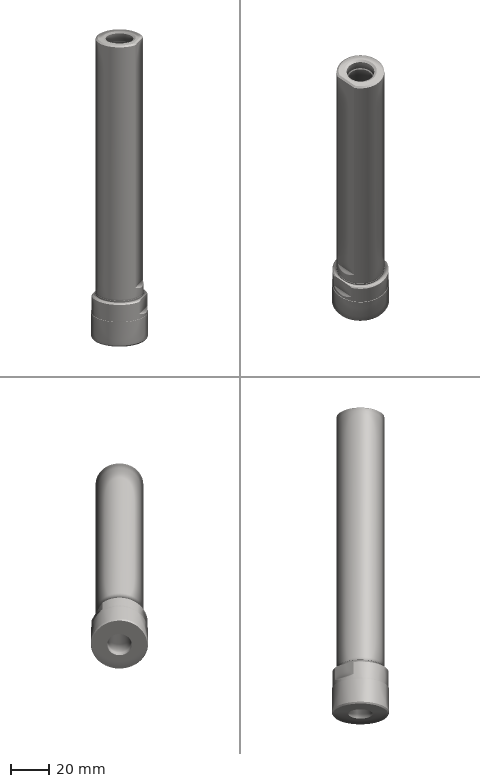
import cadquery as cq

total_length = 169.0
shaft_diameter = 25.0
shaft_chamfer_width = 1.0
shaft_chamfer_height = 0.7

neck_diameter = 24.7
neck_top = 25.7
neck_bottom = 25.0

nut_diameter = 30.0
nut_upper_diameter = 29.5
nut_step_height = 14.0
nut_top = 24.2
nut_bottom_chamfer_width = 0.5
nut_bottom_chamfer_height = 0.8
nut_top_chamfer_width = 0.7
nut_top_chamfer_height = 0.5

wrench_half_width = 13.4
wrench_flat_bottom = 16.9

shaft_flat_x = 11.0
shaft_flat_bottom = 31.3

bore_diameter = 12.8
counterbore_diameter = 14.5
counterbore_depth = 5.0
mouth_diameter = 17.0
mouth_depth = 0.7


def revolved_body():
    """Nut, neck and shaft turned about the Z axis."""
    nut_radius = nut_diameter / 2
    upper_radius = nut_upper_diameter / 2
    neck_radius = neck_diameter / 2
    shaft_radius = shaft_diameter / 2
    outline = [
        (0, 0),
        (nut_radius - nut_bottom_chamfer_width, 0),
        (nut_radius, nut_bottom_chamfer_height),
        (nut_radius, nut_step_height),
        (upper_radius, nut_step_height),
        (upper_radius, nut_top - nut_top_chamfer_height),
        (upper_radius - nut_top_chamfer_width, nut_top),
        (shaft_radius, nut_top),
        (shaft_radius, neck_bottom),
        (neck_radius, neck_bottom),
        (neck_radius, neck_top),
        (shaft_radius, neck_top),
        (shaft_radius, total_length),
        (0, total_length),
    ]
    return cq.Workplane("XZ").polyline(outline).close().revolve(360, (0, 0), (0, 1))


def flat_cutter(flat_x, bottom, top):
    """Material beyond a flat at +X, with a 45 degree run-out at its lower end."""
    reach = nut_diameter - flat_x
    outline = [
        (flat_x, top),
        (flat_x, bottom),
        (flat_x + reach, bottom - reach),
        (flat_x + reach, top),
    ]
    return cq.Workplane("XZ").polyline(outline).close().extrude(nut_diameter / 2, both=True)


def stepped_bore():
    """Through bore with a counterbore and a conical mouth at the top."""
    bore_radius = bore_diameter / 2
    counterbore_radius = counterbore_diameter / 2
    counterbore_floor = total_length - counterbore_depth
    outline = [
        (0, 0),
        (bore_radius, 0),
        (bore_radius, counterbore_floor),
        (counterbore_radius, counterbore_floor),
        (counterbore_radius, total_length - mouth_depth),
        (mouth_diameter / 2, total_length),
        (0, total_length),
    ]
    return cq.Workplane("XZ").polyline(outline).close().revolve(360, (0, 0), (0, 1))


wrench_flat = flat_cutter(wrench_half_width, wrench_flat_bottom, neck_top)
shaft_flat = flat_cutter(shaft_flat_x, shaft_flat_bottom, total_length)

body = revolved_body().cut(shaft_flat)
for angle in (0, 180):
    body = body.cut(wrench_flat.rotate((0, 0, 0), (0, 0, 1), angle))

body = body.faces(">Z").edges().chamfer(shaft_chamfer_height, shaft_chamfer_width)

result = body.cut(stepped_bore())